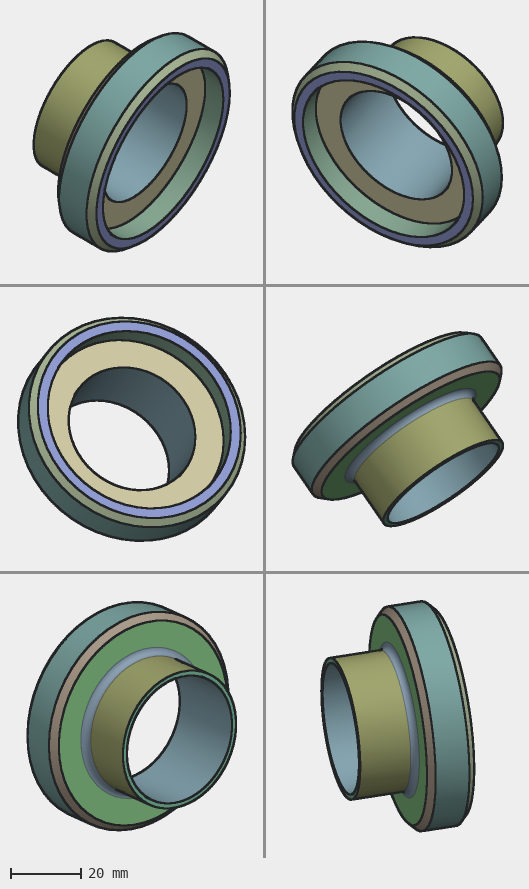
import cadquery as cq

total_length = 31.0
flange_diameter = 65.0
flange_thickness = 14.05
flange_chamfer = 2.0
neck_diameter = 41.0
bore_diameter = 38.0
root_fillet = 2.0
recess_diameter = 55.0
recess_depth = 6.6

flange_radius = flange_diameter / 2
neck_radius = neck_diameter / 2
bore_radius = bore_diameter / 2
recess_radius = recess_diameter / 2
recess_floor = total_length - recess_depth
neck_length = total_length - flange_thickness
chamfered_radius = flange_radius - flange_chamfer


def flanged_sleeve():
    """Revolve the half section; the sketch runs along X with radius along Y."""
    section = (
        cq.Workplane("XY")
        .moveTo(0, bore_radius)
        .lineTo(0, neck_radius)
        .lineTo(neck_length - root_fillet, neck_radius)
        .radiusArc((neck_length, neck_radius + root_fillet), -root_fillet)
        .lineTo(neck_length, chamfered_radius)
        .lineTo(neck_length + flange_chamfer, flange_radius)
        .lineTo(total_length - flange_chamfer, flange_radius)
        .lineTo(total_length, chamfered_radius)
        .lineTo(total_length, recess_radius)
        .lineTo(recess_floor, recess_radius)
        .lineTo(recess_floor, bore_radius)
        .close()
    )
    return section.revolve(360, (0, 0, 0), (1, 0, 0))


result = flanged_sleeve()